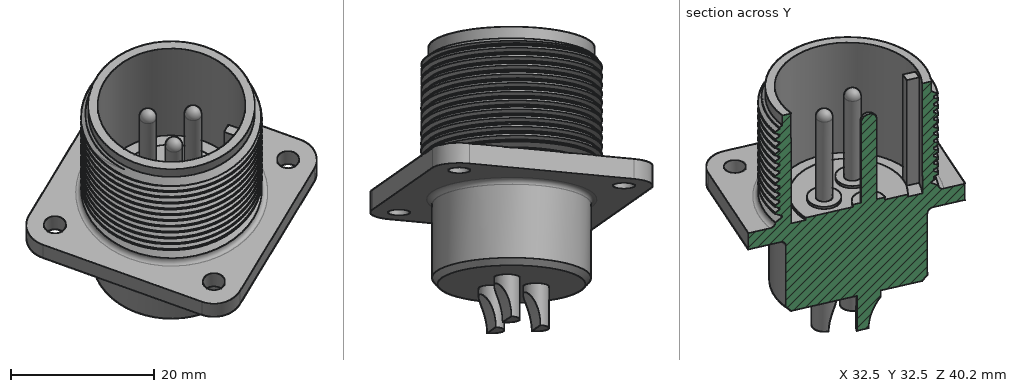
import cadquery as cq
import math

total_height = 40.2
body_bottom_z = 6.03
flange_bottom_z = 18.32
flange_thickness = 2.9
flange_top_z = flange_bottom_z + flange_thickness

flange_side = 32.55
flange_corner_radius = 4.0
mount_hole_diameter = 3.1
mount_hole_spacing = flange_side - 2 * flange_corner_radius

rear_radius = 11.13
rear_fillet = 0.75
rear_chamfer_height = 0.9
rear_chamfer_width = 0.8

thread_radius = 12.65
barrel_fillet = 0.75
rim_radius = 11.65
rim_height = 1.7
lead_in_height = 0.75
relief_floor_z = 22.7
relief_floor_width = 0.12
relief_upper_flank = 0.65

groove_start_z = 22.82
groove_rise_in_ten_turns = 12.65
pitch = groove_rise_in_ten_turns / 10
groove_turns = 12.5
crest_flat = 0.32
root_flat = 0.15
groove_depth = 0.65
groove_overcut = 0.2

socket_radius = 10.33
socket_floor_z = flange_top_z
insert_radius = 8.3
step_height = 0.4
insert_face_z = socket_floor_z + step_height

key_tip_x = 8.45
key_width = 1.45
key_top_z = 39.4

contact_circle_radius = 3.65
contact_angles = (60, 180, 300)
collar_radius = 2.4
pin_radius = 1.2
pin_top_z = 37.0
cup_radius = 1.8
cup_scoop_height = 5.0


def contact_positions():
    for angle in contact_angles:
        turn = math.radians(angle)
        yield contact_circle_radius * math.cos(turn), contact_circle_radius * math.sin(turn)


def cylinder(radius, bottom_z, top_z, center=(0, 0)):
    return (
        cq.Workplane("XY", origin=(center[0], center[1], bottom_z))
        .circle(radius)
        .extrude(top_z - bottom_z)
    )


def make_turned_body():
    """Rear body and barrel as one revolved profile, with fillets flaring into the flange."""
    cos_45 = math.sqrt(0.5)
    rear_fillet_mid = rear_fillet * (1 - cos_45)
    barrel_fillet_mid = barrel_fillet * (1 - cos_45)
    rim_bottom_z = total_height - rim_height
    relief_bottom_z = relief_floor_z - relief_floor_width / 2
    relief_top_z = relief_floor_z + relief_floor_width / 2
    profile = (
        cq.Workplane("XZ")
        .moveTo(0, body_bottom_z)
        .lineTo(rear_radius - rear_chamfer_width, body_bottom_z)
        .lineTo(rear_radius, body_bottom_z + rear_chamfer_height)
        .lineTo(rear_radius, flange_bottom_z - rear_fillet)
        .threePointArc(
            (rear_radius + rear_fillet_mid, flange_bottom_z - rear_fillet_mid),
            (rear_radius + rear_fillet, flange_bottom_z),
        )
        .lineTo(thread_radius + barrel_fillet, flange_top_z)
        .threePointArc(
            (thread_radius + barrel_fillet_mid, flange_top_z + barrel_fillet_mid),
            (thread_radius, flange_top_z + barrel_fillet),
        )
        .lineTo(rim_radius, relief_bottom_z)
        .lineTo(rim_radius, relief_top_z)
        .lineTo(thread_radius, relief_top_z + relief_upper_flank)
        .lineTo(thread_radius, rim_bottom_z - lead_in_height)
        .lineTo(rim_radius, rim_bottom_z)
        .lineTo(rim_radius, total_height)
        .lineTo(0, total_height)
        .close()
    )
    return profile.revolve(360, (0, 0, 0), (0, 1, 0))


def make_thread_groove():
    """Trapezoid swept along a helix, its flanks extended beyond the crest."""
    root_half_width = root_flat / 2
    crest_half_width = (pitch - crest_flat) / 2
    flank_slope = (crest_half_width - root_half_width) / groove_depth
    outer_half_width = crest_half_width + groove_overcut * flank_slope
    root_radius = thread_radius - groove_depth
    outer_radius = thread_radius + groove_overcut
    helix = cq.Wire.makeHelix(pitch, pitch * groove_turns, thread_radius)
    return (
        cq.Workplane("XZ")
        .moveTo(outer_radius, -outer_half_width)
        .lineTo(root_radius, -root_half_width)
        .lineTo(root_radius, root_half_width)
        .lineTo(outer_radius, outer_half_width)
        .close()
        .sweep(cq.Workplane(obj=helix), isFrenet=True)
        .rotate((0, 0, 0), (0, 0, 1), 180)
        .translate((0, 0, groove_start_z))
    )


def make_flange():
    return (
        cq.Workplane("XY", origin=(0, 0, flange_bottom_z))
        .rect(flange_side, flange_side)
        .extrude(flange_thickness)
        .edges("|Z")
        .fillet(flange_corner_radius)
        .faces(">Z")
        .workplane()
        .rect(mount_hole_spacing, mount_hole_spacing, forConstruction=True)
        .vertices()
        .hole(mount_hole_diameter)
    )


def make_key():
    """Rectangular rib whose outer end is buried in the socket wall."""
    buried_x = (socket_radius + rim_radius) / 2
    return (
        cq.Workplane("XY", origin=((key_tip_x + buried_x) / 2, 0, socket_floor_z))
        .rect(buried_x - key_tip_x, key_width)
        .extrude(key_top_z - socket_floor_z)
    )


def make_pin(center):
    """Round-nosed pin standing in a low collar on the insert face."""
    collar = cylinder(collar_radius, socket_floor_z, insert_face_z + step_height, center)
    nose = cq.Workplane("XY", origin=(*center, pin_top_z - pin_radius)).sphere(pin_radius)
    shank = cylinder(pin_radius, socket_floor_z, pin_top_z - pin_radius, center)
    return collar.union(shank).union(nose)


def make_solder_cup(center):
    """Rear terminal cut away on its +X side by an arc that ends upright at the axis."""
    center_x, center_y = center
    cup = cylinder(cup_radius, 0, body_bottom_z, center)
    scoop_radius = (cup_radius**2 + cup_scoop_height**2) / (2 * cup_radius)
    scoop = (
        cq.Workplane("XZ", origin=(center_x + scoop_radius, center_y, 0))
        .circle(scoop_radius)
        .extrude(cup_radius, both=True)
    )
    return cup.cut(scoop)


result = make_turned_body().cut(make_thread_groove())
result = result.union(make_flange())
result = result.cut(cylinder(socket_radius, socket_floor_z, total_height))
result = result.union(cylinder(insert_radius, socket_floor_z, insert_face_z))
result = result.union(make_key())
for position in contact_positions():
    result = result.union(make_pin(position))
    result = result.union(make_solder_cup(position))